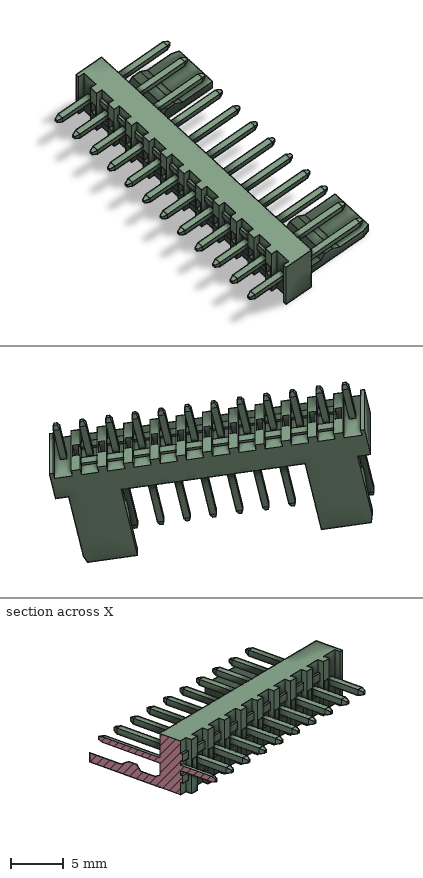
import cadquery as cq

PIN_COUNT = 12
PITCH = 2.54
PIN_SIDE = 0.64
PIN_TIP_SIDE = 0.3
PIN_TIP_LENGTH = 0.5
PIN_FRONT_REACH = 3.6
PIN_BACK_REACH = 7.4

HOUSING_LENGTH = PIN_COUNT * PITCH
HOUSING_DEPTH = 3.2
HOUSING_HEIGHT = 5.8
PIN_HEIGHT = HOUSING_HEIGHT / 2

POCKET_WIDTH = 1.65
POCKET_DEPTH = 0.66
END_WALL = 0.38

BAR_HEIGHT = 0.82
BAR_THICKNESS = 0.27

WINDOW_WIDTH = 0.6
WINDOW_HEIGHT = 1.5
BAR_OFFSET = (WINDOW_HEIGHT + BAR_HEIGHT) / 2

LATCH_WIDTH = 2 * PITCH
LATCH_THICKNESS = 1.0
LATCH_REACH = 8.46
LATCH_CORNER_WIDTH = 0.25
LATCH_CORNER_LENGTH = 0.84
ROOT_BEVEL_LENGTH = 0.55
ROOT_BEVEL_RISE = 0.3
HUMP_RISE = 0.57
HUMP_START = 2.28
HUMP_TOP_START = 2.75
HUMP_TOP_END = 3.75
HUMP_END = 4.65

FIRST_PIN_X = -(PIN_COUNT - 1) * PITCH / 2
PIN_POSITIONS = [FIRST_PIN_X + i * PITCH for i in range(PIN_COUNT)]


def box_between(x_start, x_end, y_start, y_end, z_start, z_end):
    """Axis-aligned box given by its limits."""
    return cq.Workplane("XY").box(
        x_end - x_start, y_end - y_start, z_end - z_start, centered=False
    ).translate((x_start, y_start, z_start))


def pocket_limits(index):
    """X limits of a pocket; the end pockets stop at the end walls."""
    x_start = PIN_POSITIONS[index] - POCKET_WIDTH / 2
    x_end = PIN_POSITIONS[index] + POCKET_WIDTH / 2
    if index == 0:
        x_start = -HOUSING_LENGTH / 2 + END_WALL
    if index == PIN_COUNT - 1:
        x_end = HOUSING_LENGTH / 2 - END_WALL
    return x_start, x_end


def make_housing():
    """Block with full-height front pockets, cross bars and through windows."""
    half_length = HOUSING_LENGTH / 2
    housing = box_between(-half_length, half_length, 0, HOUSING_DEPTH, 0, HOUSING_HEIGHT)
    for index in range(PIN_COUNT):
        x_start, x_end = pocket_limits(index)
        housing = housing.cut(box_between(x_start, x_end, 0, POCKET_DEPTH, 0, HOUSING_HEIGHT))

    for index in range(1, PIN_COUNT - 1):
        x_start, x_end = pocket_limits(index)
        for side in (-1, 1):
            bar_z = PIN_HEIGHT + side * BAR_OFFSET
            bar = box_between(
                x_start, x_end,
                POCKET_DEPTH - BAR_THICKNESS, POCKET_DEPTH,
                bar_z - BAR_HEIGHT / 2, bar_z + BAR_HEIGHT / 2,
            )
            housing = housing.union(bar)

    window_centres = [(x + PITCH / 2, PIN_HEIGHT) for x in PIN_POSITIONS[:-1]]
    windows = (
        cq.Workplane("XZ")
        .pushPoints(window_centres)
        .rect(WINDOW_WIDTH, WINDOW_HEIGHT)
        .extrude(-HOUSING_DEPTH)
    )
    return housing.cut(windows)


def make_tip(y_base, direction):
    """Tapered pin end that narrows from y_base along direction (+1 or -1 in Y)."""
    base_plane = cq.Plane(origin=(0, y_base, 0), xDir=(1, 0, 0), normal=(0, direction, 0))
    return (
        cq.Workplane(base_plane)
        .rect(PIN_SIDE, PIN_SIDE)
        .workplane(offset=PIN_TIP_LENGTH)
        .rect(PIN_TIP_SIDE, PIN_TIP_SIDE)
        .loft()
    )


def make_pin():
    """Square pin on the Y axis with both ends tapered."""
    front = -PIN_FRONT_REACH + PIN_TIP_LENGTH
    back = HOUSING_DEPTH + PIN_BACK_REACH - PIN_TIP_LENGTH
    half_side = PIN_SIDE / 2
    shank = box_between(-half_side, half_side, front, back, -half_side, half_side)
    return shank.union(make_tip(front, -1)).union(make_tip(back, 1))


def make_left_latch():
    """Tongue from pin 1 to pin 3 with a locking hump and a cut outer corner."""
    hump_top = LATCH_THICKNESS + HUMP_RISE
    x_outer = PIN_POSITIONS[0]
    profile = [
        (0, 0),
        (LATCH_REACH, 0),
        (LATCH_REACH, LATCH_THICKNESS),
        (HUMP_END, LATCH_THICKNESS),
        (HUMP_TOP_END, hump_top),
        (HUMP_TOP_START, hump_top),
        (HUMP_START, LATCH_THICKNESS),
        (ROOT_BEVEL_LENGTH, LATCH_THICKNESS),
        (0, LATCH_THICKNESS + ROOT_BEVEL_RISE),
    ]
    tongue = (
        cq.Workplane("YZ", origin=(x_outer, HOUSING_DEPTH, 0))
        .polyline(profile)
        .close()
        .extrude(LATCH_WIDTH)
    )
    y_tip = HOUSING_DEPTH + LATCH_REACH
    corner = (
        cq.Workplane("XY")
        .polyline([
            (x_outer, y_tip),
            (x_outer + LATCH_CORNER_WIDTH, y_tip),
            (x_outer, y_tip - LATCH_CORNER_LENGTH),
        ])
        .close()
        .extrude(LATCH_THICKNESS)
    )
    return tongue.cut(corner)


left_latch = make_left_latch()
pin = make_pin()

result = make_housing().union(left_latch).union(left_latch.mirror("YZ"))
for pin_x in PIN_POSITIONS:
    result = result.union(pin.translate((pin_x, 0, PIN_HEIGHT)))